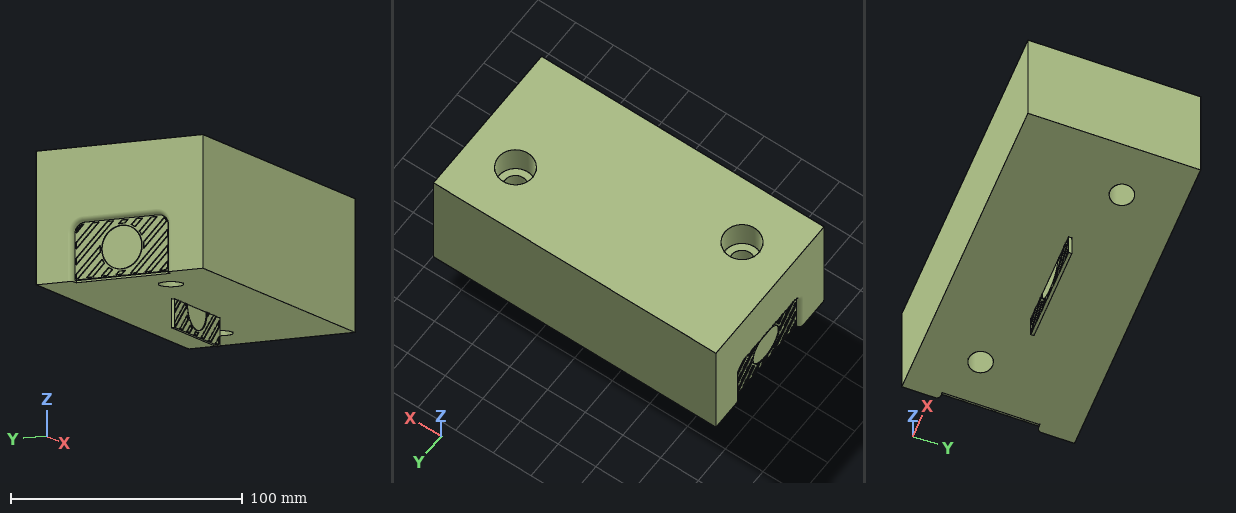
import cadquery as cq
import math

BLOCK_LENGTH = 150.0
BLOCK_WIDTH = 80.0
BLOCK_HEIGHT = 59.0

HOLE_DIAMETER = 11.0
COUNTERBORE_DIAMETER = 18.0
COUNTERBORE_DEPTH = 15.0
HOLE_X = 50.8
HOLE_Y = 12.9

PLATE_WIDTH = 45.0
PLATE_HEIGHT = 25.0
PLATE_THICKNESS = 1.5
PLATE_CORNER_RADIUS = 5.0

RELIEF_DEPTH = 0.5
RELIEF_RIM = 0.6
GROOVE_WIDTH = 2.0
GROOVE_PITCH = 5.0
GROOVE_ANGLE = 45.0
RECESS_RADIUS = 9.6
RING_WIDTH = 0.9

MOUTH_RADIUS = 2.1
PLATE_LIFT = 0.9
POCKET_DEPTH = MOUTH_RADIUS + PLATE_THICKNESS
POCKET_HEIGHT = PLATE_LIFT + PLATE_HEIGHT
EDGE_MARGIN = 0.2


def arched_prism(width, height, depth, corner_radius):
    """Upright prism centred on Y = 0, standing on Z = 0, with its two top corners rounded."""
    prism = cq.Workplane("XY").box(width, depth, height, centered=(True, True, False))
    return prism.edges("|Y and >Z").fillet(corner_radius)


def disc(radius, thickness):
    """Disc centred on the origin with its axis along Y."""
    return cq.Workplane("XZ").circle(radius).extrude(thickness / 2, both=True)


def make_plate_blank():
    """Plate without its relief, centred on the origin."""
    blank = arched_prism(PLATE_WIDTH, PLATE_HEIGHT, PLATE_THICKNESS, PLATE_CORNER_RADIUS)
    return blank.translate((0, 0, -PLATE_HEIGHT / 2))


def make_groove_field():
    """Area that the grooves may cover: inside the plate rim and outside the ring round the recess."""
    field = arched_prism(
        PLATE_WIDTH - 2 * RELIEF_RIM,
        PLATE_HEIGHT - 2 * RELIEF_RIM,
        RELIEF_DEPTH,
        PLATE_CORNER_RADIUS - RELIEF_RIM,
    )
    field = field.translate((0, 0, RELIEF_RIM - PLATE_HEIGHT / 2))
    return field.cut(disc(RECESS_RADIUS + RING_WIDTH, RELIEF_DEPTH))


def cut_relief(plate):
    """Sink the diagonal grooves and the round recess into the -Y face of a centred plate."""
    face_shift = (0, (RELIEF_DEPTH - PLATE_THICKNESS) / 2, 0)
    field = make_groove_field()
    groove_length = math.hypot(PLATE_WIDTH, PLATE_HEIGHT)
    grooves_per_side = math.ceil(groove_length / 2 / GROOVE_PITCH)
    for index in range(-grooves_per_side, grooves_per_side):
        offset = (index + 0.5) * GROOVE_PITCH
        bar = cq.Workplane("XY").box(groove_length, RELIEF_DEPTH, GROOVE_WIDTH)
        bar = bar.translate((0, 0, offset)).rotate((0, 0, 0), (0, 1, 0), -GROOVE_ANGLE)
        groove = field.intersect(bar)
        if groove.solids().size() > 0:
            plate = plate.cut(groove.translate(face_shift))
    return plate.cut(disc(RECESS_RADIUS, RELIEF_DEPTH).translate(face_shift))


def make_plate():
    """Plate centred on the origin, with its relief facing -Y."""
    return cut_relief(make_plate_blank())


def face_minus_x(body):
    """Turn a body that faces -Y so that it faces -X."""
    return body.rotate((0, 0, 0), (0, 0, 1), -90)


def cut_pocket(block):
    """Pocket in the -X face, with the edge of its mouth rounded."""
    pocket = arched_prism(PLATE_WIDTH, POCKET_HEIGHT, POCKET_DEPTH, PLATE_CORNER_RADIUS)
    block = block.cut(face_minus_x(pocket).translate(((POCKET_DEPTH - BLOCK_LENGTH) / 2, 0, 0)))
    mouth = cq.selectors.BoxSelector(
        (-BLOCK_LENGTH / 2 - EDGE_MARGIN, -PLATE_WIDTH / 2 - EDGE_MARGIN, EDGE_MARGIN),
        (-BLOCK_LENGTH / 2 + EDGE_MARGIN, PLATE_WIDTH / 2 + EDGE_MARGIN, POCKET_HEIGHT + EDGE_MARGIN),
    )
    return block.edges(mouth).fillet(MOUTH_RADIUS)


def cut_holes(block):
    """Two through holes counterbored from the top."""
    top = block.faces(">Z").workplane(origin=(0, 0, 0))
    centres = [(-HOLE_X, -HOLE_Y), (HOLE_X, HOLE_Y)]
    return top.pushPoints(centres).cboreHole(HOLE_DIAMETER, COUNTERBORE_DIAMETER, COUNTERBORE_DEPTH)


def make_block():
    """Block with its pocket, its holes and the bottom slot for the standing plate."""
    block = cq.Workplane("XY").box(BLOCK_LENGTH, BLOCK_WIDTH, BLOCK_HEIGHT, centered=(True, True, False))
    block = cut_pocket(block)
    block = cut_holes(block)
    return block.cut(make_plate_blank())


block = make_block()

pocket_plate_x = -BLOCK_LENGTH / 2 + MOUTH_RADIUS + PLATE_THICKNESS / 2
pocket_plate_z = PLATE_LIFT + PLATE_HEIGHT / 2
standing_plate = make_plate()
pocket_plate = face_minus_x(make_plate()).translate((pocket_plate_x, 0, pocket_plate_z))

bodies = [block, standing_plate, pocket_plate]
result = cq.Compound.makeCompound([body.solids().val() for body in bodies])